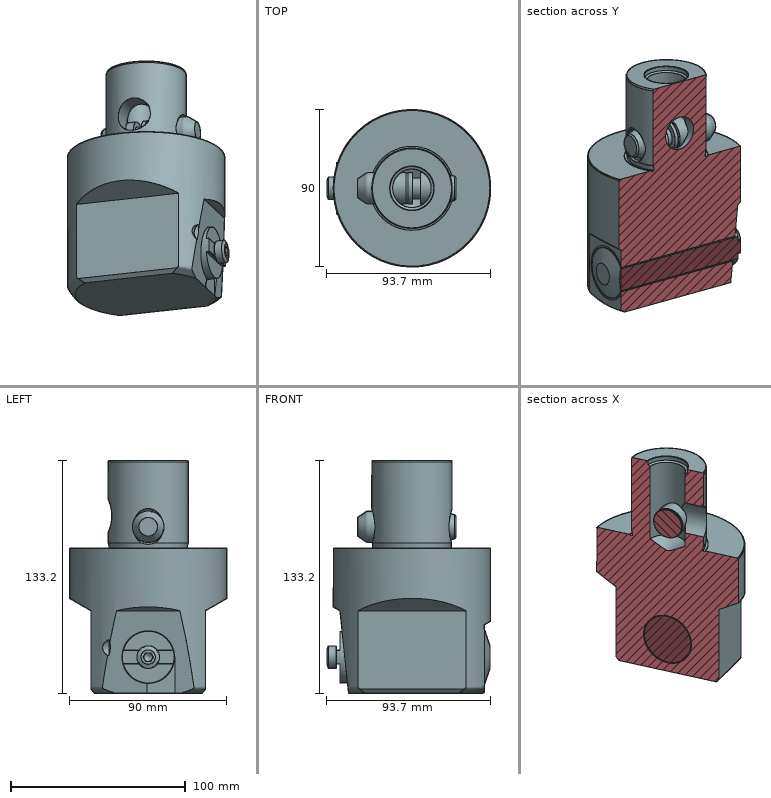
import cadquery as cq
import math


housing_radius = 45.0
housing_height = 83.2
shoulder_chamfer = 0.5
bottom_chamfer_width = 4.4
bottom_chamfer_height = 2.8
bottom_round = 1.8

ledge_angle = 30.0
side_flat_offset = 32.75
side_flat_top = -36.0
side_flat_chamfer_width = 1.95
side_flat_chamfer_height = 2.35
dial_flat_offset = 41.45
dial_flat_top = -44.0
bar_flat_offset = 41.2
bar_flat_top = -36.0
bar_flat_tilt = 6.0

shank_radius = 23.0
shank_height = 50.0
shank_chamfer_width = 0.4
shank_chamfer_height = 1.0
relief_height = 2.6
relief_top_radius = 22.7
relief_bottom_radius = 22.4
relief_groove_radius = 24.0
relief_groove_depth = 0.4

bore_radius = 11.0
bore_floor = 0.0
bore_tip_depth = 6.0
bore_mouth_chamfer = 0.25
counterbore_radius = 12.5
counterbore_depth = 2.6
counterbore_cone_height = 0.6
side_window_radius = 9.7
side_window_z = 18.3

pin_z = 12.0
pin_radius = 9.0
pin_countersink_radius = 10.4
pin_countersink_depth = 1.4
pin_left_end = -31.1
pin_left_tip_radius = 5.3
pin_left_round_radius = 6.3
pin_left_round_end = -29.75
pin_left_cone_end = -26.1
pin_left_cone_radius = 8.75
pin_left_cylinder_start = -25.3
pin_right_end = 25.3
pin_right_tip_radius = 6.1
pin_right_round_radius = 6.9
pin_right_round_end = 24.3
pin_right_cone_end = 18.4
pin_neck_radius = 6.0
pin_neck_start = 0.2
pin_neck_end = 4.8
pin_groove_start = -3.3
pin_groove_end = -2.2
pin_groove_depth = 0.3

bar_z = -62.5
bar_radius = 14.8
bar_bore_radius = 15.0
bar_face = -41.2
rib_face = -43.0
rib_width = 8.0
rib_chamfer = 0.3

screw_end = -48.67
screw_head_radius = 6.5
screw_tip_radius = 4.1
screw_crown_height = 0.9
screw_back_chamfer = 0.5
screw_shank_radius = 3.0
screw_shank_length = 12.0
socket_width = 5.0
socket_depth = 2.0
socket_tip_depth = 1.4

dial_base_radius = 16.0
dial_tip_radius = 6.4
dial_end = 44.7

pocket_floor = -36.2
pocket_side_low = -15.2
pocket_side_high = 0.7

notch_x = -42.6
notch_z = -57.2
notch_radius = 5.9
notch_end = 22.4
notch_tip_height = 2.0

tool_reach = 60.0


def revolve_about_z(points):
    return cq.Workplane("XZ").polyline(points).close().revolve(360, (0, 0), (0, 1))


def turn_about_x(points, axis_z):
    """Turned part from (x, radius) points, with its axis along X at height axis_z."""
    profile = cq.Workplane("XY").polyline(points).close()
    return profile.revolve(360, (0, 0), (1, 0)).translate((0, 0, axis_z))


def cylinder_x(radius, start, end, axis_z):
    return cq.Workplane("YZ", origin=(start, 0, axis_z)).circle(radius).extrude(end - start)


def make_blank():
    """Round housing and shank with the turned edges, before milling."""
    blank = revolve_about_z([
        (0, -housing_height),
        (housing_radius - bottom_chamfer_width, -housing_height),
        (housing_radius, -housing_height + bottom_chamfer_height),
        (housing_radius, -shoulder_chamfer),
        (housing_radius - shoulder_chamfer, 0),
        (relief_groove_radius, 0),
        (relief_groove_radius, -relief_groove_depth),
        (relief_bottom_radius, -relief_groove_depth),
        (relief_top_radius, relief_height),
        (shank_radius, relief_height),
        (shank_radius, shank_height - shank_chamfer_height),
        (shank_radius - shank_chamfer_width, shank_height),
        (0, shank_height),
    ])
    chamfer_top_centre = (0, 0, -housing_height + bottom_chamfer_height)
    chamfer_top_edge = cq.selectors.NearestToPointSelector(chamfer_top_centre)
    return blank.edges("%CIRCLE").edges(chamfer_top_edge).fillet(bottom_round)


def make_flat_cutter(offset, top, tilt, chamfer_width, chamfer_height):
    """Material outside a flat that faces +X; the flat leans inward by tilt degrees going down."""
    ledge_rise = tool_reach * math.tan(math.radians(ledge_angle))
    lean = math.tan(math.radians(tilt))
    chamfer_z = -housing_height + chamfer_height
    chamfer_x = offset - (top - chamfer_z) * lean
    bottom_x = offset - (top + housing_height) * lean - chamfer_width
    outline = [
        (offset, top),
        (offset + tool_reach, top + ledge_rise),
        (offset + tool_reach, -housing_height),
        (bottom_x, -housing_height),
    ]
    if chamfer_height > 0:
        outline.append((chamfer_x, chamfer_z))
    cutter = cq.Workplane("XZ").polyline(outline).close()
    return cutter.extrude(tool_reach, both=True)


def cut_flats(body):
    side_flat = make_flat_cutter(
        side_flat_offset, side_flat_top, 0, side_flat_chamfer_width, side_flat_chamfer_height
    )
    for angle in (90, -90):
        body = body.cut(side_flat.rotate((0, 0, 0), (0, 0, 1), angle))
    body = body.cut(make_flat_cutter(dial_flat_offset, dial_flat_top, 0, 0, 0))
    bar_flat = make_flat_cutter(bar_flat_offset, bar_flat_top, bar_flat_tilt, 0, 0)
    return body.cut(bar_flat.rotate((0, 0, 0), (0, 0, 1), 180))


def cut_shank_bore(body):
    cone_top = shank_height - counterbore_depth
    bore = revolve_about_z([
        (0, bore_floor - bore_tip_depth),
        (bore_radius, bore_floor),
        (bore_radius, cone_top - counterbore_cone_height),
        (counterbore_radius, cone_top),
        (counterbore_radius, shank_height - bore_mouth_chamfer),
        (counterbore_radius + bore_mouth_chamfer, shank_height),
        (0, shank_height),
    ])
    window = cq.Workplane("XZ", origin=(0, 0, side_window_z)).circle(side_window_radius)
    return body.cut(bore).cut(window.extrude(-shank_radius))


def cut_pin_hole(body):
    """Cross hole for the pin, countersunk on both sides of the shank."""
    sink_start = shank_radius - pin_countersink_depth
    hole = turn_about_x([
        (-shank_radius, 0),
        (-shank_radius, pin_countersink_radius),
        (-sink_start, pin_radius),
        (sink_start, pin_radius),
        (shank_radius, pin_countersink_radius),
        (shank_radius, 0),
    ], pin_z)
    return body.cut(hole)


def cut_pocket(body):
    width = pocket_side_high - pocket_side_low
    pocket = cq.Workplane("XY").box(tool_reach, width, bar_z + housing_height, centered=False)
    corner = (pocket_floor - tool_reach, pocket_side_low, -housing_height)
    return body.cut(pocket.translate(corner))


def cut_notch(body):
    drill = cq.Workplane("XY").polyline([
        (0, notch_end - notch_tip_height),
        (notch_radius, notch_end),
        (notch_radius, tool_reach),
        (0, tool_reach),
    ]).close().revolve(360, (0, 0), (0, 1))
    return body.cut(drill.translate((notch_x, 0, notch_z)))


def make_housing():
    body = cut_flats(make_blank())
    body = cut_shank_bore(body)
    body = cut_pin_hole(body)
    body = cut_pocket(body)
    body = cut_notch(body)
    return body.cut(cylinder_x(bar_bore_radius, -tool_reach, dial_flat_offset, bar_z))


def make_cross_pin():
    groove_radius = pin_radius - pin_groove_depth
    return turn_about_x([
        (pin_left_end, 0),
        (pin_left_end, pin_left_tip_radius),
        (pin_left_round_end, pin_left_round_radius),
        (pin_left_cone_end, pin_left_cone_radius),
        (pin_left_cylinder_start, pin_radius),
        (pin_groove_start, pin_radius),
        (pin_groove_start, groove_radius),
        (pin_groove_end, groove_radius),
        (pin_groove_end, pin_radius),
        (pin_neck_start, pin_radius),
        (pin_neck_start, pin_neck_radius),
        (pin_neck_end, pin_neck_radius),
        (pin_neck_end, pin_radius),
        (pin_right_cone_end, pin_radius),
        (pin_right_round_end, pin_right_round_radius),
        (pin_right_end, pin_right_tip_radius),
        (pin_right_end, 0),
    ], pin_z)


def make_slide_bar():
    """Round bar with a raised rib across its exposed end and a hole for the screw shank."""
    bar = cylinder_x(bar_radius, bar_face, dial_flat_offset, bar_z)
    end_disc = cylinder_x(bar_radius, rib_face, bar_face, bar_z)
    rib_band = cq.Workplane("XY").box(tool_reach * 2, tool_reach, rib_width).translate((0, 0, bar_z))
    screw_hole = cylinder_x(screw_shank_radius, rib_face, rib_face + screw_shank_length, bar_z)
    rib = end_disc.intersect(rib_band).faces("<X").edges("|Y").chamfer(rib_chamfer)
    return bar.union(rib).cut(screw_hole)


def make_screw():
    screw = turn_about_x([
        (screw_end, 0),
        (screw_end, screw_tip_radius),
        (screw_end + screw_crown_height, screw_head_radius),
        (rib_face - screw_back_chamfer, screw_head_radius),
        (rib_face, screw_head_radius - screw_back_chamfer),
        (rib_face, screw_shank_radius),
        (rib_face + screw_shank_length, screw_shank_radius),
        (rib_face + screw_shank_length, 0),
    ], bar_z)
    corner_diameter = socket_width / math.cos(math.pi / 6)
    socket = cq.Workplane("YZ", origin=(screw_end, 0, bar_z)).polygon(6, corner_diameter)
    socket_floor = screw_end + socket_depth
    socket_tip = turn_about_x([
        (socket_floor, 0),
        (socket_floor, socket_width / 2),
        (socket_floor + socket_tip_depth, 0),
    ], bar_z)
    return screw.cut(socket.extrude(socket_depth)).cut(socket_tip)


def make_dial():
    return turn_about_x([
        (dial_flat_offset, 0),
        (dial_flat_offset, dial_base_radius),
        (dial_end, dial_tip_radius),
        (dial_end, 0),
    ], bar_z)


housing = make_housing()
cross_pin = make_cross_pin()
slide_bar = make_slide_bar()
screw = make_screw()
dial = make_dial()

result = cq.Compound.makeCompound([
    housing.val(),
    cross_pin.val(),
    slide_bar.val(),
    screw.val(),
    dial.val(),
])